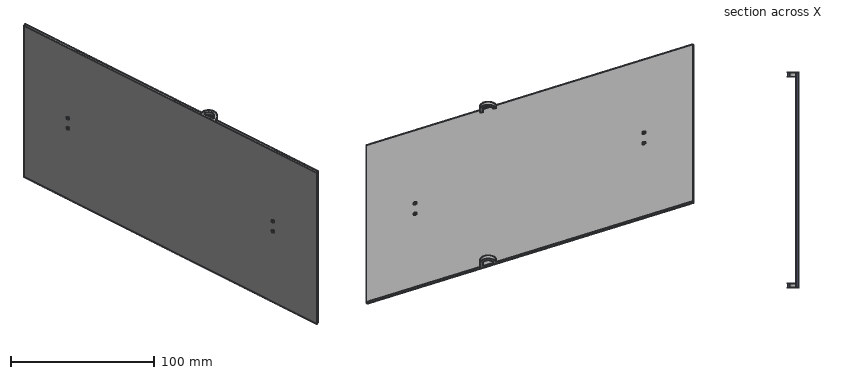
import cadquery as cq

plate_length = 250.0
plate_height = 150.0
plate_thickness = 2.0

loop_outer_radius = 6.0
loop_wall = 2.0
loop_inner_radius = loop_outer_radius - loop_wall
loop_width = 3.0
loop_x = 31.5

hole_diameter = 2.5
hole_spacing_x = 175.0
hole_spacing_z = 10.0


def make_plate():
    """Flat plate with the four holes drilled through it."""
    plate = cq.Workplane("XY").box(
        plate_length, plate_thickness, plate_height, centered=(True, False, True)
    )
    holes = (
        cq.Workplane("XZ")
        .rarray(hole_spacing_x, hole_spacing_z, 2, 2)
        .circle(hole_diameter / 2)
        .extrude(-plate_thickness)
    )
    return plate.cut(holes)


def make_loop(bottom_z):
    """Half ring standing on the back face, its bore running along Z."""
    return (
        cq.Workplane("XY", origin=(loop_x, plate_thickness, bottom_z))
        .moveTo(-loop_outer_radius, 0)
        .threePointArc((0, loop_outer_radius), (loop_outer_radius, 0))
        .lineTo(loop_inner_radius, 0)
        .threePointArc((0, loop_inner_radius), (-loop_inner_radius, 0))
        .close()
        .extrude(loop_width)
    )


result = make_plate()
for loop_bottom_z in (-plate_height / 2, plate_height / 2 - loop_width):
    result = result.union(make_loop(loop_bottom_z))